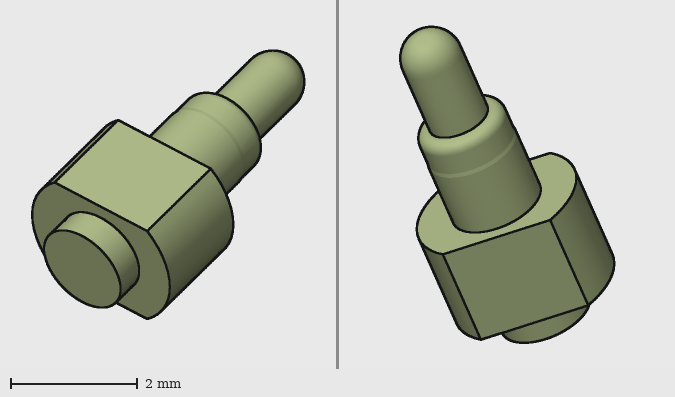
import cadquery as cq
import math

overall_length = 5.6
tail_length = 0.5
flange_length = 1.7
shoulder_end = 3.29
step_length = 0.07
sleeve_end = 3.9

flange_diameter = 2.7
flange_height = 2.0
body_radius = 0.75
sleeve_radius = 0.74
sleeve_rounding = 0.185
pin_radius = 0.5
dome_height = 0.53


def make_turned_pin():
    """Revolve the tail, shoulder, sleeve and domed plunger about Y."""
    dome_start = overall_length - dome_height
    dome_radius = (dome_height**2 + pin_radius**2) / (2 * dome_height)
    dome_center = overall_length - dome_radius
    diagonal = math.sqrt(0.5)
    dome_mid = (dome_radius * diagonal, dome_center + dome_radius * diagonal)

    rounding_center = (sleeve_radius - sleeve_rounding, sleeve_end - sleeve_rounding)
    rounding_mid = tuple(c + sleeve_rounding * diagonal for c in rounding_center)

    return (
        cq.Workplane("XY")
        .lineTo(body_radius, 0)
        .lineTo(body_radius, shoulder_end)
        .lineTo(sleeve_radius, shoulder_end + step_length)
        .lineTo(sleeve_radius, rounding_center[1])
        .threePointArc(rounding_mid, (rounding_center[0], sleeve_end))
        .lineTo(pin_radius, sleeve_end)
        .lineTo(pin_radius, dome_start)
        .threePointArc(dome_mid, (0, overall_length))
        .close()
        .revolve(360, (0, 0), (0, 1))
    )


def make_flange():
    """Round flange with parallel flats on its top and bottom."""
    flange_mid = tail_length + flange_length / 2
    disc = (
        cq.Workplane("XZ", origin=(0, tail_length, 0))
        .circle(flange_diameter / 2)
        .extrude(-flange_length)
    )
    flats = cq.Workplane("XY").box(flange_diameter, flange_length, flange_height)
    return disc.intersect(flats.translate((0, flange_mid, 0)))


result = make_turned_pin().union(make_flange())